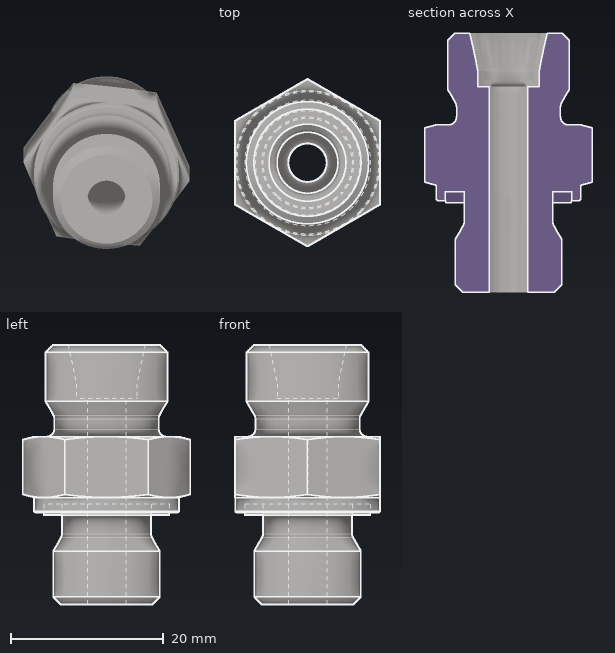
import cadquery as cq
import math

TOTAL_HEIGHT = 34.0
FLANGE_BOTTOM = 12.0
HEX_BOTTOM = 14.0
HEX_TOP = 22.0

HEX_ACROSS_FLATS = 19.0
HEX_FACE_DIAMETER = 18.9
FLANGE_CHAMFER = 0.2
HEX_CHAMFER_ANGLE = 15.0

UPPER_THREAD_DIAMETER = 16.0
UPPER_THREAD_BOTTOM = 26.6
UPPER_NECK_DIAMETER = 13.7
LOWER_THREAD_DIAMETER = 14.0
LOWER_THREAD_TOP = 7.0
LOWER_NECK_DIAMETER = 11.7
END_CHAMFER = 1.0
RELIEF_CONE_ANGLE = 30.0
RELIEF_RADIUS = 1.0

BORE_DIAMETER = 5.0
SOCKET_DIAMETER = 8.0
SOCKET_DEPTH = 7.0
MOUTH_DIAMETER = 10.1
MOUTH_HALF_ANGLE = 12.0

SEAL_DIAMETER = 16.5
SEAL_THICKNESS = 1.5
SEAL_PROJECTION = 0.3


def cone_height(large_diameter, small_diameter, half_angle):
    """Axial length of a cone whose wall leans half_angle degrees from its axis."""
    return (large_diameter - small_diameter) / 2 / math.tan(math.radians(half_angle))


def cylinder(diameter, bottom, top):
    return cq.Workplane("XY").workplane(offset=bottom).circle(diameter / 2).extrude(top - bottom)


def revolve_profile(points):
    """Solid of revolution about Z from (radius, height) points."""
    return cq.Workplane("XZ").polyline(points).close().revolve(360, (0, 0, 0), (0, 1, 0))


def threaded_end(thread_diameter, neck_diameter, thread_length, neck_length):
    """Threaded end standing on z = 0, with its relief neck below the thread."""
    thread_radius = thread_diameter / 2
    neck_radius = neck_diameter / 2
    length = neck_length + thread_length
    cone_bottom = neck_length - cone_height(thread_diameter, neck_diameter, RELIEF_CONE_ANGLE)

    tangent = RELIEF_RADIUS * math.tan(math.radians(RELIEF_CONE_ANGLE / 2))
    lean = math.radians(RELIEF_CONE_ANGLE)
    half_lean = lean / 2
    arc_start = (neck_radius, cone_bottom - tangent)
    arc_middle = (
        neck_radius + RELIEF_RADIUS * (1 - math.cos(half_lean)),
        arc_start[1] + RELIEF_RADIUS * math.sin(half_lean),
    )
    arc_end = (
        neck_radius + tangent * math.sin(lean),
        cone_bottom + tangent * math.cos(lean),
    )
    return (
        cq.Workplane("XZ")
        .lineTo(neck_radius, 0)
        .lineTo(*arc_start)
        .threePointArc(arc_middle, arc_end)
        .lineTo(thread_radius, neck_length)
        .lineTo(thread_radius, length - END_CHAMFER)
        .lineTo(thread_radius - END_CHAMFER, length)
        .lineTo(0, length)
        .close()
        .revolve(360, (0, 0, 0), (0, 1, 0))
    )


def hexagon():
    """Hexagon with two flats facing X and its corners bevelled at both ends."""
    corner_diameter = HEX_ACROSS_FLATS / math.cos(math.pi / 6)
    prism = (
        cq.Workplane("XY").workplane(offset=HEX_BOTTOM)
        .polygon(6, corner_diameter).extrude(HEX_TOP - HEX_BOTTOM)
        .rotate((0, 0, 0), (0, 0, 1), 30)
    )
    face_radius = HEX_FACE_DIAMETER / 2
    corner_radius = corner_diameter / 2
    bevel_drop = (corner_radius - face_radius) * math.tan(math.radians(HEX_CHAMFER_ANGLE))
    bevel_limit = revolve_profile([
        (0, HEX_BOTTOM),
        (face_radius, HEX_BOTTOM),
        (corner_radius, HEX_BOTTOM + bevel_drop),
        (corner_radius, HEX_TOP - bevel_drop),
        (face_radius, HEX_TOP),
        (0, HEX_TOP),
    ])
    return prism.intersect(bevel_limit)


def flange():
    """Round flange as wide as the hexagon flats, with its lower edge chamfered."""
    return cylinder(HEX_ACROSS_FLATS, FLANGE_BOTTOM, HEX_BOTTOM).faces("<Z").chamfer(FLANGE_CHAMFER)


def upper_root_fillet():
    """Concave collar that blends the upper neck into the top of the hexagon."""
    neck_radius = UPPER_NECK_DIAMETER / 2
    outer_radius = neck_radius + RELIEF_RADIUS
    collar_top = HEX_TOP + RELIEF_RADIUS
    arc_inset = RELIEF_RADIUS * math.sqrt(0.5)
    return (
        cq.Workplane("XZ")
        .moveTo(0, HEX_TOP)
        .lineTo(outer_radius, HEX_TOP)
        .threePointArc((outer_radius - arc_inset, collar_top - arc_inset), (neck_radius, collar_top))
        .lineTo(0, collar_top)
        .close()
        .revolve(360, (0, 0, 0), (0, 1, 0))
    )


def bore():
    """Through bore with a tube socket and a conical mouth at the upper end."""
    mouth_bottom = TOTAL_HEIGHT - cone_height(MOUTH_DIAMETER, SOCKET_DIAMETER, MOUTH_HALF_ANGLE)
    socket_bottom = TOTAL_HEIGHT - SOCKET_DEPTH
    return revolve_profile([
        (0, 0),
        (BORE_DIAMETER / 2, 0),
        (BORE_DIAMETER / 2, socket_bottom),
        (SOCKET_DIAMETER / 2, socket_bottom),
        (SOCKET_DIAMETER / 2, mouth_bottom),
        (MOUTH_DIAMETER / 2, TOTAL_HEIGHT),
        (0, TOTAL_HEIGHT),
    ])


def make_seal_ring():
    bottom = FLANGE_BOTTOM - SEAL_PROJECTION
    top = bottom + SEAL_THICKNESS
    return cylinder(SEAL_DIAMETER, bottom, top).cut(cylinder(LOWER_NECK_DIAMETER, bottom, top))


def make_fitting(seal_ring):
    upper_end = threaded_end(
        UPPER_THREAD_DIAMETER,
        UPPER_NECK_DIAMETER,
        TOTAL_HEIGHT - UPPER_THREAD_BOTTOM,
        UPPER_THREAD_BOTTOM - HEX_TOP,
    ).translate((0, 0, HEX_TOP))
    lower_end = threaded_end(
        LOWER_THREAD_DIAMETER,
        LOWER_NECK_DIAMETER,
        LOWER_THREAD_TOP,
        FLANGE_BOTTOM - LOWER_THREAD_TOP,
    ).rotate((0, 0, 0), (1, 0, 0), 180).translate((0, 0, FLANGE_BOTTOM))
    return (
        hexagon()
        .union(flange())
        .union(upper_end)
        .union(upper_root_fillet())
        .union(lower_end)
        .cut(bore())
        .cut(seal_ring)
    )


seal_ring = make_seal_ring()
fitting = make_fitting(seal_ring)

result = cq.Compound.makeCompound([fitting.val(), seal_ring.val()])